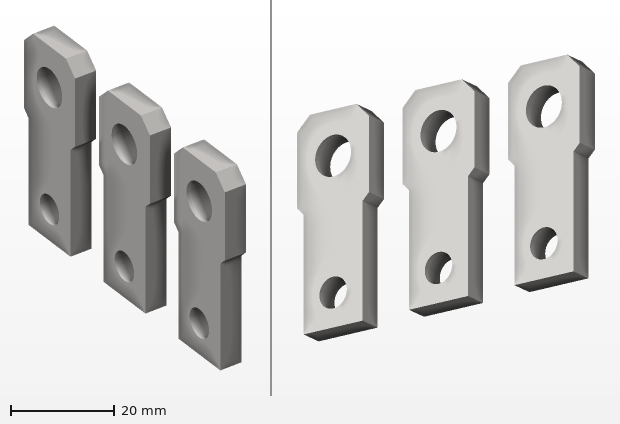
import cadquery as cq

link_count = 3
link_pitch = 25.0
thickness = 5.0
height = 44.7

head_width = 17.0
shank_width = 14.0
shank_height = 24.5
corner_cut = 3.0

head_hole_diameter = 8.5
head_hole_height = 35.2
shank_hole_diameter = 6.5
shank_hole_height = 7.2

half_head = head_width / 2
half_shank = shank_width / 2
shoulder_top = shank_height + half_head - half_shank


def link_outline():
    """Corner points of a link centred on X = 0, with its bottom edge at Z = 0."""
    right_edge = [
        (half_shank, 0),
        (half_shank, shank_height),
        (half_head, shoulder_top),
        (half_head, height - corner_cut),
        (half_head - corner_cut, height),
    ]
    left_edge = [(-x, z) for x, z in reversed(right_edge)]
    return right_edge + left_edge


def make_link(x_position):
    """One link with both through holes, centred at the given X."""
    profile = cq.Workplane("XZ", origin=(x_position, thickness / 2, 0))
    profile = profile.polyline(link_outline()).close()
    profile = profile.moveTo(0, head_hole_height).circle(head_hole_diameter / 2)
    profile = profile.moveTo(0, shank_hole_height).circle(shank_hole_diameter / 2)
    return profile.extrude(thickness)


first_x = -link_pitch * (link_count - 1) / 2
links = [make_link(first_x + index * link_pitch) for index in range(link_count)]

result = cq.Compound.makeCompound([link.val() for link in links])